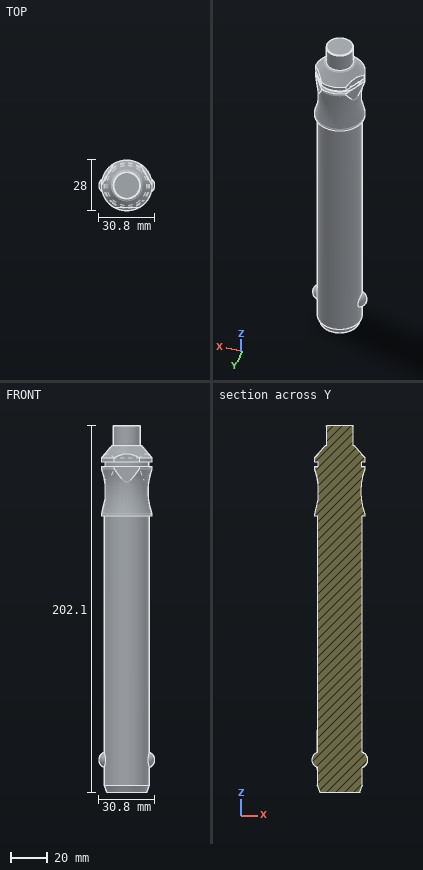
import cadquery as cq
import math

shank_length = 152.06
handle_length = 50.0
ring_edge = 1.2
ring_top = 27.3
disc_bottom = 29.7
disc_top = 32.1
neck_z = ring_top / 2
button_length = 11.0
cone_top = handle_length - button_length

shank_radius = 12.5
tip_radius = 11.0
tip_chamfer_length = 4.0
handle_radius = 14.0
neck_radius = 11.8
groove_radius = 12.1
cone_top_radius = 8.1
cone_edge_fillet = 1.2
button_radius = 7.5
button_chamfer = 0.4

flat_distance = 12.15
flat_angles = (30, 150, 270)

ball_radius = 4.5
ball_span = 30.8
ball_height = 18.0


def revolved_body():
    """Shank, waisted grip, groove, conical head and push button."""
    cone_slope = math.atan2(cone_top - disc_top, handle_radius - cone_top_radius)
    tangent_length = cone_edge_fillet * math.tan(cone_slope / 2)
    fillet_start = (
        cone_top_radius + tangent_length * math.cos(cone_slope),
        cone_top - tangent_length * math.sin(cone_slope),
    )
    profile = (
        cq.Workplane("XZ")
        .moveTo(0, -shank_length)
        .lineTo(tip_radius, -shank_length)
        .lineTo(shank_radius, tip_chamfer_length - shank_length)
        .lineTo(shank_radius, 0)
        .lineTo(handle_radius, 0)
        .lineTo(handle_radius, ring_edge)
        .threePointArc((neck_radius, neck_z), (handle_radius, ring_top - ring_edge))
        .lineTo(handle_radius, ring_top)
        .lineTo(groove_radius, ring_top)
        .lineTo(groove_radius, disc_bottom)
        .lineTo(handle_radius, disc_bottom)
        .lineTo(handle_radius, disc_top)
        .lineTo(*fillet_start)
        .radiusArc((cone_top_radius - tangent_length, cone_top), -cone_edge_fillet)
        .lineTo(button_radius, cone_top)
        .lineTo(button_radius, handle_length - button_chamfer)
        .lineTo(button_radius - button_chamfer, handle_length)
        .lineTo(0, handle_length)
        .close()
    )
    return profile.revolve(360, (0, 0, 0), (0, 1, 0))


def flat_cutter(angle):
    """Block that leaves a flat facing the given direction on the upper handle."""
    block_depth = handle_radius
    block_height = handle_length - neck_z
    return (
        cq.Workplane("XY")
        .workplane(offset=neck_z)
        .center(flat_distance + block_depth / 2, 0)
        .rect(block_depth, 2 * handle_radius)
        .extrude(block_height)
        .rotate((0, 0, 0), (0, 0, 1), angle)
    )


def locking_ball(side):
    """Ball protruding from the shank on the +X (1) or -X (-1) side."""
    center_x = side * (ball_span / 2 - ball_radius)
    return cq.Workplane("XY").sphere(ball_radius).translate((center_x, 0, ball_height - shank_length))


result = revolved_body()
for angle in flat_angles:
    result = result.cut(flat_cutter(angle))
for side in (-1, 1):
    result = result.union(locking_ball(side))